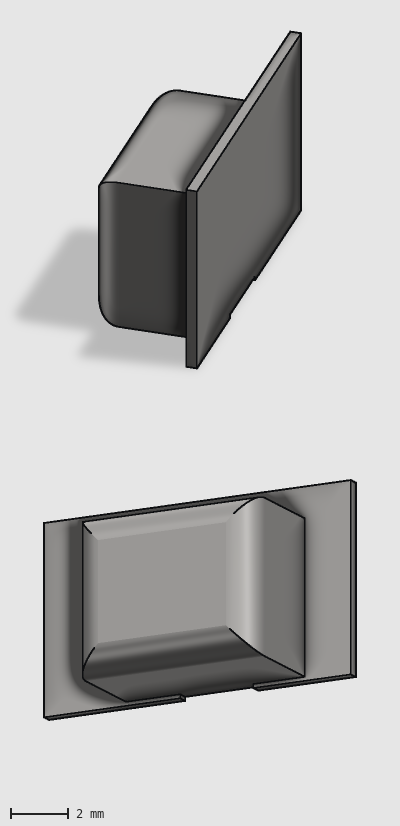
import cadquery as cq

plate_thickness = 0.4
plate_length = 12.0
plate_height = 7.0

housing_depth = 4.01
housing_length = 7.0
housing_height = 5.7
housing_offset_y = -0.71
housing_bottom = 0.15
edge_radius = 1.0

notch_length = 2.85
notch_offset_y = -0.75
notch_depth = housing_bottom


def make_plate():
    plate = cq.Workplane("XY").box(
        plate_thickness, plate_length, plate_height, centered=(False, True, False)
    )
    notch = (
        cq.Workplane("XY")
        .box(plate_thickness, notch_length, notch_depth, centered=(False, True, False))
        .translate((0, notch_offset_y, 0))
    )
    return plate.cut(notch)


def make_housing():
    housing = cq.Workplane("XY").box(
        housing_depth, housing_length, housing_height, centered=(False, True, False)
    )
    housing = housing.faces("<X").edges().fillet(edge_radius)
    return housing.translate((-housing_depth, housing_offset_y, housing_bottom))


result = make_plate().union(make_housing())